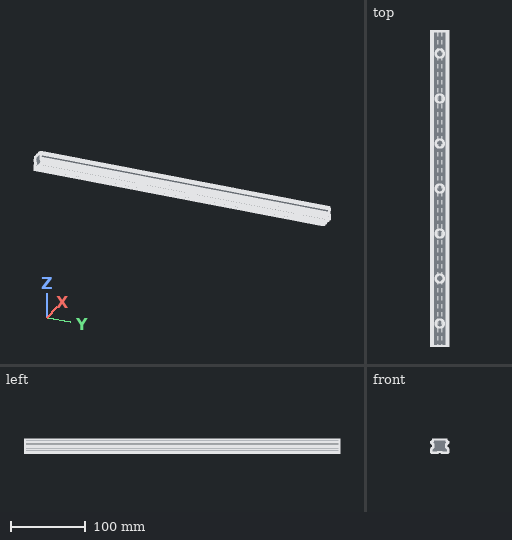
import cadquery as cq

WIDTH = 23.0
LENGTH = 420.0
HEIGHT = 18.0

TOP_WIDTH = 17.5
TOP_CHAMFER = 0.5
UPPER_GROOVE_RADIUS = 2.5
UPPER_GROOVE_END_WIDTH = 21.5
UPPER_GROOVE_END_Z = 14.5

LIP_TOP_Z = 14.3
LIP_BOTTOM_Z = 13.5

LOWER_GROOVE_RADIUS = 3.8
LOWER_GROOVE_END_WIDTH = 17.5
LOWER_GROOVE_END_Z = 11.0

WAIST_WIDTH = 17.0
WAIST_TOP_Z = 9.5
WAIST_BOTTOM_Z = 8.0

SHOULDER_WIDTH = 21.5
SHOULDER_Z = 6.0
FOOT_SIDE_TOP_Z = 4.5
BOTTOM_CHAMFER = 1.3
RELIEF_WIDTH = 6.0
RELIEF_DEPTH = 1.0

CAP_COUNT = 7
CAP_DIAMETER = 11.0
CAP_RECESS = 0.2
CAP_PITCH = LENGTH / CAP_COUNT


def rail_body():
    """Half of the constant rail section, extruded along Y and mirrored about X = 0."""
    edge_x = WIDTH / 2
    half_section = (
        cq.Workplane("XZ")
        .moveTo(0, RELIEF_DEPTH)
        .lineTo(RELIEF_WIDTH / 2 - RELIEF_DEPTH, RELIEF_DEPTH)
        .lineTo(RELIEF_WIDTH / 2, 0)
        .lineTo(edge_x - BOTTOM_CHAMFER, 0)
        .lineTo(edge_x, BOTTOM_CHAMFER)
        .lineTo(edge_x, FOOT_SIDE_TOP_Z)
        .lineTo(SHOULDER_WIDTH / 2, SHOULDER_Z)
        .lineTo(WAIST_WIDTH / 2, WAIST_BOTTOM_Z)
        .lineTo(WAIST_WIDTH / 2, WAIST_TOP_Z)
        .lineTo(LOWER_GROOVE_END_WIDTH / 2, LOWER_GROOVE_END_Z)
        .radiusArc((edge_x, LIP_BOTTOM_Z), LOWER_GROOVE_RADIUS)
        .lineTo(edge_x, LIP_TOP_Z)
        .lineTo(UPPER_GROOVE_END_WIDTH / 2, UPPER_GROOVE_END_Z)
        .radiusArc((TOP_WIDTH / 2 + TOP_CHAMFER, HEIGHT - TOP_CHAMFER), UPPER_GROOVE_RADIUS)
        .lineTo(TOP_WIDTH / 2, HEIGHT)
        .lineTo(0, HEIGHT)
        .close()
    )
    half_rail = half_section.extrude(LENGTH / 2, both=True)
    return half_rail.union(half_rail.mirror("YZ")).clean()


def cap_recesses():
    """Shallow round recesses, one pitch apart and centred along the rail."""
    return (
        cq.Workplane("XY")
        .workplane(offset=HEIGHT - CAP_RECESS)
        .rarray(4, CAP_PITCH, 1, CAP_COUNT)
        .circle(CAP_DIAMETER / 2)
        .extrude(CAP_RECESS)
    )


result = rail_body().cut(cap_recesses())